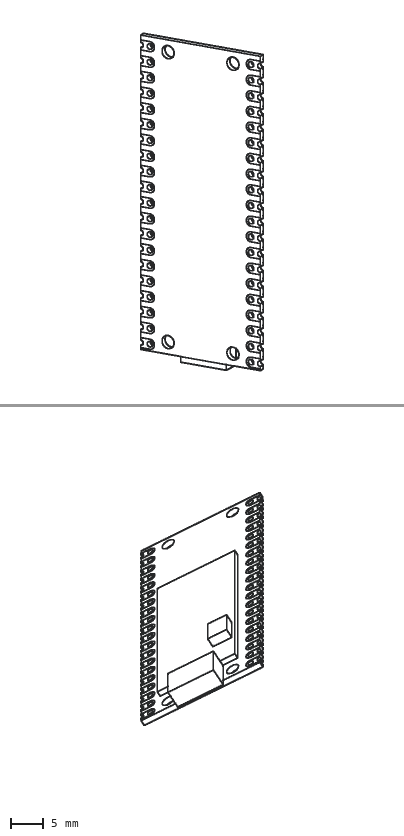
import cadquery as cq

overall_depth = 4.05

board_width = 21.0
board_height = 51.0
board_thickness = 1.0

mount_hole_diameter = 2.1
mount_spacing_x = 11.4
mount_edge_inset = 2.0

pad_count = 20
pad_row_span = 48.25
pad_pitch = pad_row_span / (pad_count - 1)
pad_width = 1.6
pad_thickness = 0.0185
lowest_pad_gap = 0.3
lowest_pad_height = lowest_pad_gap + pad_width / 2
pin_inset = 1.6
pin_hole_diameter = 0.9
notch_diameter = pin_hole_diameter

plate_width = 13.7
plate_height = 31.0
plate_thickness = 0.9
plate_left_margin = 3.9
plate_bottom_margin = 4.55

button_width = 3.35
button_height = 4.45
button_thickness = 1.6
button_left_margin = 4.45
button_bottom_margin = 9.9

connector_width = 8.05
connector_height = 5.65
connector_thickness = overall_depth - board_thickness - pad_thickness
connector_overhang = 1.3

board_left = -board_width / 2
pin_x = board_width / 2 - pin_inset
pad_heights = [lowest_pad_height + i * pad_pitch for i in range(pad_count)]


def block(left, bottom, back, width, height, thickness):
    """Box from its low X, Z and Y corner, growing toward +X, +Z and +Y."""
    box = cq.Workplane("XY").box(width, thickness, height, centered=False)
    return box.translate((left, back, bottom))


def cylinders(points, diameter):
    """Cylinders along Y through the board and both pad layers, at (x, z) points."""
    back_face = cq.Workplane("XZ", origin=(0, board_thickness + pad_thickness, 0))
    return back_face.pushPoints(points).circle(diameter / 2).extrude(board_thickness + 2 * pad_thickness)


def pad(side, height, back):
    """Round-ended pad from the -X or +X edge (side -1 or +1) inward, its +Y face at Y = back."""
    half = pad_width / 2
    edge_x = side * board_width / 2
    centre_x = side * pin_x
    outline = (
        cq.Workplane("XZ", origin=(0, back, 0))
        .moveTo(edge_x, height + half)
        .lineTo(centre_x, height + half)
        .threePointArc((centre_x - side * half, height), (centre_x, height - half))
        .lineTo(edge_x, height - half)
        .close()
    )
    return outline.extrude(pad_thickness)


body = block(board_left, 0, 0, board_width, board_height, board_thickness)
for side in (-1, 1):
    for height in pad_heights:
        body = body.union(pad(side, height, 0))
        body = body.union(pad(side, height, board_thickness + pad_thickness))

pin_points = [(side * pin_x, height) for side in (-1, 1) for height in pad_heights]
notch_points = [(side * board_width / 2, height) for side in (-1, 1) for height in pad_heights]
mount_points = [
    (side * mount_spacing_x / 2, height)
    for side in (-1, 1)
    for height in (mount_edge_inset, board_height - mount_edge_inset)
]
body = body.cut(cylinders(pin_points, pin_hole_diameter))
body = body.cut(cylinders(notch_points, notch_diameter))
body = body.cut(cylinders(mount_points, mount_hole_diameter))

plate = block(
    board_left + plate_left_margin, plate_bottom_margin, board_thickness,
    plate_width, plate_height, plate_thickness,
)
button = block(
    board_left + button_left_margin, button_bottom_margin, board_thickness + plate_thickness,
    button_width, button_height, button_thickness,
)
connector = block(
    -connector_width / 2, -connector_overhang, board_thickness,
    connector_width, connector_height, connector_thickness,
)

result = body.union(plate).union(button).union(connector)